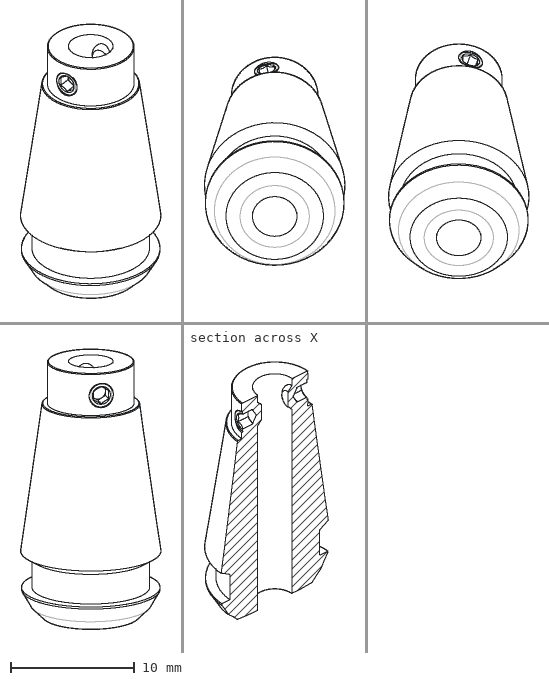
import cadquery as cq
import math

length = 21.5
collar_height = 3.53
shoulder_z = length - collar_height
cone_base_z = 5.53
groove_top_z = 4.97
groove_bottom_z = 2.47
flange_land_z = 2.3
flange_break_z = 1.0
rim_z = 0.09

collar_diameter = 7.0
shoulder_diameter = 7.91
cone_base_diameter = 11.35
groove_diameter = 9.5
flange_diameter = 11.2
flange_break_diameter = 9.75
rim_diameter = 7.87
bottom_diameter = 5.6
edge_chamfer = 0.075

bore_diameter = 3.6

screw_z = length - 1.9
screw_diameter = 2.5
screw_tip_diameter = 1.55
screw_tip_y = 1.38
screw_head_y = 3.4
screw_head_edge = 0.05
screw_hole_diameter = 2.02
socket_flats = 1.25
socket_mouth_diameter = 1.5
socket_depth = 1.08
socket_point_angle = 120.0


def turned_body():
    """Revolve the half outline about Z, then drill the axial bore."""
    outline = [
        (0, 0),
        (bottom_diameter / 2, 0),
        (rim_diameter / 2, rim_z),
        (flange_break_diameter / 2, flange_break_z),
        (flange_diameter / 2, flange_land_z),
        (flange_diameter / 2, groove_bottom_z),
        (groove_diameter / 2, groove_bottom_z),
        (groove_diameter / 2, groove_top_z),
        (cone_base_diameter / 2, cone_base_z),
        (shoulder_diameter / 2, shoulder_z - edge_chamfer),
        (shoulder_diameter / 2 - edge_chamfer, shoulder_z),
        (collar_diameter / 2, shoulder_z),
        (collar_diameter / 2, length - edge_chamfer),
        (collar_diameter / 2 - edge_chamfer, length),
        (0, length),
    ]
    body = cq.Workplane("XZ").polyline(outline).close().revolve(360, (0, 0), (0, 1))
    bore = cq.Workplane("XY").circle(bore_diameter / 2).extrude(length)
    return body.cut(bore)


def revolve_about_y(section):
    """Revolve (radius, y) points about the screw axis, which runs along Y at the screw height."""
    solid = cq.Workplane("XY").polyline(section).close().revolve(360, (0, 0), (0, 1))
    return solid.translate((0, 0, screw_z))


def screw_tip():
    """Tapered flat tip on the +Y side, reaching from the collar wall into the bore."""
    taper_length = (screw_diameter - screw_tip_diameter) / 2
    return revolve_about_y([
        (0, screw_tip_y),
        (screw_tip_diameter / 2, screw_tip_y),
        (screw_diameter / 2, screw_tip_y + taper_length),
        (0, screw_tip_y + taper_length),
    ])


def screw_recess():
    """Space outside the screw head on the +Y side: hole mouth, countersunk socket and its drill point."""
    hole_radius = screw_hole_diameter / 2
    mouth_radius = socket_mouth_diameter / 2
    core_radius = socket_flats / 2
    socket_floor_y = screw_head_y - socket_depth
    point_depth = core_radius / math.tan(math.radians(socket_point_angle / 2))
    turned_space = revolve_about_y([
        (0, socket_floor_y - point_depth),
        (core_radius, socket_floor_y),
        (core_radius, screw_head_y - (mouth_radius - core_radius)),
        (mouth_radius, screw_head_y),
        (hole_radius - screw_head_edge, screw_head_y),
        (hole_radius, screw_head_y - screw_head_edge),
        (hole_radius, collar_diameter),
        (0, collar_diameter),
    ])
    hexagon = (
        cq.Workplane("XZ", origin=(0, screw_head_y, screw_z))
        .polygon(6, socket_flats, circumscribed=True)
        .extrude(socket_depth)
    )
    return turned_space.union(hexagon)


result = turned_body()
for turn in (0, 180):
    result = result.union(screw_tip().rotate((0, 0, 0), (0, 0, 1), turn))
    result = result.cut(screw_recess().rotate((0, 0, 0), (0, 0, 1), turn))